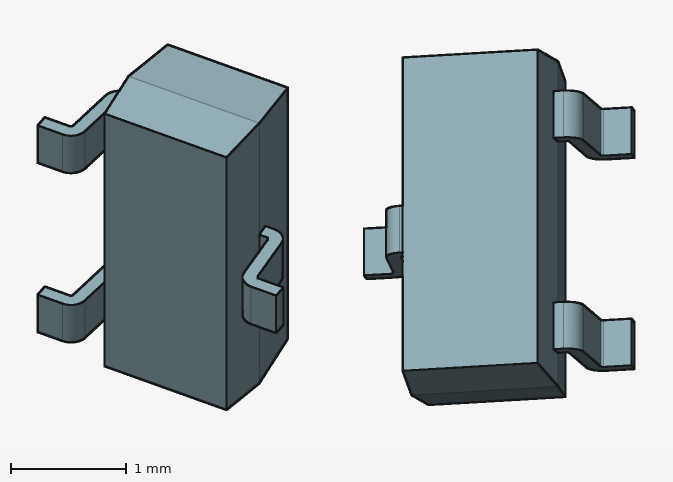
import cadquery as cq
import math

body_width = 1.3
body_length = 2.92
back_depth = 0.6
mount_depth = 0.5
draft_angle = 5.0

lead_span = 2.37
lead_width = 0.42
lead_thickness = 0.128
lead_pitch = 0.95
foot_sole_y = -0.65
foot_length = 0.248
leg_angle = 5.0
inner_radius = 0.02
outer_radius = inner_radius + lead_thickness


def make_half(depth, direction):
    """One half of the package, tapering away from the parting plane along Y."""
    plane = cq.Plane(origin=(0, 0, 0), xDir=(1, 0, 0), normal=(0, direction, 0))
    return cq.Workplane(plane).rect(body_width, body_length).extrude(depth, taper=draft_angle)


def make_body():
    """Package with both halves joined into one solid."""
    return make_half(back_depth, 1).union(make_half(mount_depth, -1))


def bend_point(center, radius, degrees):
    """Point on a bend, at an angle measured counter-clockwise from +X."""
    angle = math.radians(degrees)
    return (center[0] + radius * math.cos(angle), center[1] + radius * math.sin(angle))


def make_lead(side, z_center):
    """Bent lead butting against the package wall; side is +1 for +X or -1 for -X."""
    tip_x = lead_span / 2
    foot_top_y = foot_sole_y + lead_thickness
    wall_x = body_width / 2
    wall_top_x = wall_x - lead_thickness * math.tan(math.radians(draft_angle))

    foot_center = (tip_x - foot_length, foot_sole_y + outer_radius)
    shoulder_y = -inner_radius
    lean = math.radians(leg_angle)
    rise = shoulder_y - foot_center[1]
    center_gap = (inner_radius + outer_radius + rise * math.sin(lean)) / math.cos(lean)
    shoulder_center = (foot_center[0] - center_gap, shoulder_y)

    shoulder_end = leg_angle
    shoulder_middle = (90 + shoulder_end) / 2
    foot_start = 180 + leg_angle
    foot_middle = (270 + foot_start) / 2

    profile = (
        cq.Workplane("XY", origin=(0, 0, z_center - lead_width / 2))
        .moveTo(wall_x, 0)
        .lineTo(wall_top_x, lead_thickness)
        .lineTo(shoulder_center[0], lead_thickness)
        .threePointArc(
            bend_point(shoulder_center, outer_radius, shoulder_middle),
            bend_point(shoulder_center, outer_radius, shoulder_end),
        )
        .lineTo(*bend_point(foot_center, inner_radius, foot_start))
        .threePointArc(
            bend_point(foot_center, inner_radius, foot_middle),
            (foot_center[0], foot_top_y),
        )
        .lineTo(tip_x, foot_top_y)
        .lineTo(tip_x, foot_sole_y)
        .lineTo(foot_center[0], foot_sole_y)
        .threePointArc(
            bend_point(foot_center, outer_radius, foot_middle),
            bend_point(foot_center, outer_radius, foot_start),
        )
        .lineTo(*bend_point(shoulder_center, inner_radius, shoulder_end))
        .threePointArc(
            bend_point(shoulder_center, inner_radius, shoulder_middle),
            (shoulder_center[0], 0),
        )
        .close()
    )
    lead = profile.extrude(lead_width)
    if side < 0:
        lead = lead.mirror("YZ")
    return lead


body = make_body()

lead_places = [(-1, -lead_pitch), (-1, lead_pitch), (1, 0)]
leads = [make_lead(side, z_center) for side, z_center in lead_places]

result = cq.Compound.makeCompound([body.val(), *[lead.val() for lead in leads]])